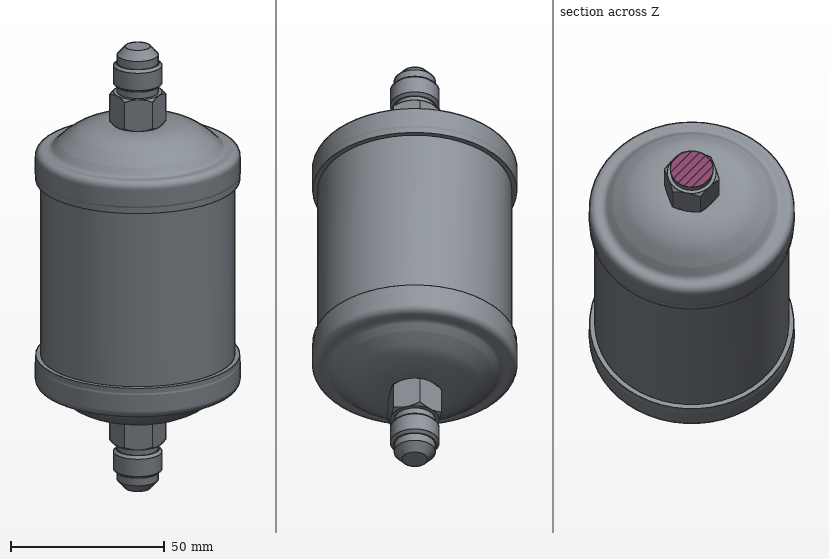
import cadquery as cq
import math

HALF_LENGTH = 76.5

SHELL_RADIUS = 63.5 / 2
CAP_RADIUS = 67.0 / 2
LIP_RADIUS = 66.7 / 2
LIP_BOTTOM_Z = 30.3
LIP_TOP_Z = 32.1
LIP_STEP_HEIGHT = 0.6
RIM_TOP_Z = 40.9
RIM_FILLET = 2.5

CROWN_Z = 49.7
CROWN_RADIUS = 10.9
SHOULDER_RADIUS = 21.3
CONE_ANGLE = math.radians(45)
VALLEY_RADIUS = 2.6

TIP_RADIUS = 4.1
NECK_RADIUS = 13.5 / 2
THREAD_RADIUS = 15.9 / 2
THREAD_CHAMFER = 0.9
FLARE_BASE_Z = 73.6
THREAD_TOP_Z = 70.8
THREAD_BOTTOM_Z = 63.0

HEX_TOP_Z = 60.7
HEX_FLATS = 15.9
HEX_CORNERS = HEX_FLATS / math.cos(math.radians(30))
HEX_CHAMFER_HEIGHT = 0.9


def arc_point(center, radius, angle):
    """Point of an (r, z) arc, with the angle measured from +Z towards +r."""
    return (center[0] + radius * math.sin(angle), center[1] + radius * math.cos(angle))


def revolve_about_z(profile):
    return profile.close().revolve(360, (0, 0, 0), (0, 1, 0))


def end_cap():
    shoulder_center = (CROWN_RADIUS, CROWN_Z - SHOULDER_RADIUS)
    shoulder_middle = arc_point(shoulder_center, SHOULDER_RADIUS, CONE_ANGLE / 2)
    shoulder_end = arc_point(shoulder_center, SHOULDER_RADIUS, CONE_ANGLE)

    cone_bottom_z = RIM_TOP_Z + VALLEY_RADIUS * (1 - math.cos(CONE_ANGLE))
    cone_bottom_r = shoulder_end[0] + (shoulder_end[1] - cone_bottom_z) / math.tan(CONE_ANGLE)
    valley_center = (
        cone_bottom_r + VALLEY_RADIUS * math.sin(CONE_ANGLE),
        RIM_TOP_Z + VALLEY_RADIUS,
    )
    valley_middle = arc_point(valley_center, -VALLEY_RADIUS, CONE_ANGLE / 2)

    rim_center = (CAP_RADIUS - RIM_FILLET, RIM_TOP_Z - RIM_FILLET)
    rim_middle = arc_point(rim_center, RIM_FILLET, math.radians(45))

    profile = (
        cq.Workplane("XZ")
        .moveTo(0, LIP_BOTTOM_Z)
        .lineTo(LIP_RADIUS, LIP_BOTTOM_Z)
        .lineTo(LIP_RADIUS, LIP_TOP_Z)
        .lineTo(CAP_RADIUS, LIP_TOP_Z + LIP_STEP_HEIGHT)
        .lineTo(CAP_RADIUS, rim_center[1])
        .threePointArc(rim_middle, (rim_center[0], RIM_TOP_Z))
        .lineTo(valley_center[0], RIM_TOP_Z)
        .threePointArc(valley_middle, (cone_bottom_r, cone_bottom_z))
        .lineTo(*shoulder_end)
        .threePointArc(shoulder_middle, (CROWN_RADIUS, CROWN_Z))
        .lineTo(0, CROWN_Z)
    )
    return revolve_about_z(profile)


def flare_fitting():
    chamfer_radius = THREAD_RADIUS - THREAD_CHAMFER
    profile = (
        cq.Workplane("XZ")
        .moveTo(0, CROWN_Z)
        .lineTo(NECK_RADIUS, CROWN_Z)
        .lineTo(NECK_RADIUS, THREAD_BOTTOM_Z)
        .lineTo(chamfer_radius, THREAD_BOTTOM_Z)
        .lineTo(THREAD_RADIUS, THREAD_BOTTOM_Z + THREAD_CHAMFER)
        .lineTo(THREAD_RADIUS, THREAD_TOP_Z - THREAD_CHAMFER)
        .lineTo(chamfer_radius, THREAD_TOP_Z)
        .lineTo(NECK_RADIUS, THREAD_TOP_Z)
        .lineTo(NECK_RADIUS, FLARE_BASE_Z)
        .lineTo(TIP_RADIUS, HALF_LENGTH)
        .lineTo(0, HALF_LENGTH)
    )
    return revolve_about_z(profile)


def chamfered_hexagon():
    prism = (
        cq.Workplane("XY", origin=(0, 0, CROWN_Z))
        .polygon(6, HEX_CORNERS)
        .extrude(HEX_TOP_Z - CROWN_Z)
    )
    envelope = (
        cq.Workplane("XZ")
        .moveTo(0, CROWN_Z)
        .lineTo(HEX_FLATS / 2, CROWN_Z)
        .lineTo(HEX_CORNERS / 2, CROWN_Z + HEX_CHAMFER_HEIGHT)
        .lineTo(HEX_CORNERS / 2, HEX_TOP_Z - HEX_CHAMFER_HEIGHT)
        .lineTo(HEX_FLATS / 2, HEX_TOP_Z)
        .lineTo(0, HEX_TOP_Z)
    )
    return prism.intersect(revolve_about_z(envelope))


shell = (
    cq.Workplane("XY", origin=(0, 0, -LIP_BOTTOM_Z))
    .circle(SHELL_RADIUS)
    .extrude(2 * LIP_BOTTOM_Z)
)
upper_end = end_cap().union(flare_fitting()).union(chamfered_hexagon())
lower_end = upper_end.mirror("XY")
result = shell.union(upper_end).union(lower_end)